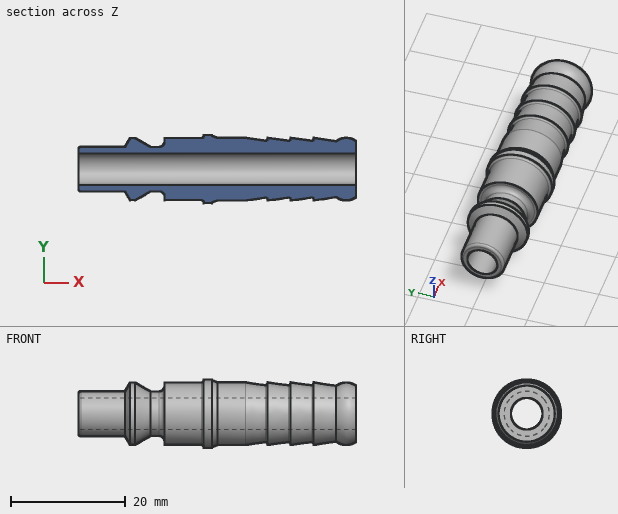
import cadquery as cq
import math


length = 48.5
bore_radius = 5.5 / 2
body_radius = 10.9 / 2
tail_radius = 11.0 / 2

stem_radius = 7.9 / 2
stem_end_fillet = 0.5
stem_length = 8.15

ridge_lead_angle = 60.0
ridge_top_width = 0.9
ridge_back_angle = 30.0
neck_radius = 7.8 / 2
neck_fillet = 0.95
shoulder_x = 15.05

collar_radius = 12.0 / 2
collar_start = 21.85
collar_width = 1.5
collar_front_fillet = 0.4
collar_back_run = 0.85
collar_back_rise = 0.35

barb_start = 29.2
first_barb_edge = 33.0
barb_pitch = 4.03
barb_count = 3
barb_root_radius = 5.0
barb_root_fillet = 0.3
bulb_start = 45.0
bulb_root_radius = 4.9

ridge_start = stem_length + (body_radius - stem_radius) / math.tan(math.radians(ridge_lead_angle))
ridge_end = ridge_start + ridge_top_width
neck_start = ridge_end + (body_radius - neck_radius) / math.tan(math.radians(ridge_back_angle))
collar_end = collar_start + collar_width
bulb_crest = (bulb_start + length) / 2


def hollow_fillet(profile, wall_x, root_radius, fillet):
    """Run along the root and curve up into the wall at wall_x with a concave quarter circle."""
    middle_offset = fillet * (1 - math.sqrt(0.5))
    return (
        profile
        .lineTo(wall_x - fillet, root_radius)
        .threePointArc(
            (wall_x - middle_offset, root_radius + middle_offset),
            (wall_x, root_radius + fillet),
        )
    )


def add_stem_and_neck(profile):
    corner_offset = stem_end_fillet * (1 - math.sqrt(0.5))
    profile = (
        profile
        .lineTo(0, stem_radius - stem_end_fillet)
        .threePointArc(
            (corner_offset, stem_radius - corner_offset),
            (stem_end_fillet, stem_radius),
        )
        .lineTo(stem_length, stem_radius)
        .lineTo(ridge_start, body_radius)
        .lineTo(ridge_end, body_radius)
        .lineTo(neck_start, neck_radius)
    )
    profile = hollow_fillet(profile, shoulder_x, neck_radius, neck_fillet)
    return profile.lineTo(shoulder_x, body_radius)


def add_collar(profile):
    profile = hollow_fillet(profile, collar_start, body_radius, collar_front_fillet)
    return (
        profile
        .lineTo(collar_start, collar_radius)
        .lineTo(collar_end, collar_radius)
        .lineTo(collar_end, tail_radius + collar_back_rise)
        .lineTo(collar_end + collar_back_run, tail_radius)
    )


def add_barbs(profile):
    profile = profile.lineTo(barb_start, tail_radius)
    for index in range(barb_count):
        edge_x = first_barb_edge + index * barb_pitch
        profile = hollow_fillet(profile, edge_x, barb_root_radius, barb_root_fillet)
        profile = profile.lineTo(edge_x, tail_radius)
    return profile


def add_bulb(profile):
    return (
        profile
        .lineTo(bulb_start, bulb_root_radius)
        .threePointArc((bulb_crest, tail_radius), (length, bulb_root_radius))
        .lineTo(length, bore_radius)
    )


outline = cq.Workplane("XY").moveTo(0, bore_radius)
outline = add_stem_and_neck(outline)
outline = add_collar(outline)
outline = add_barbs(outline)
outline = add_bulb(outline).close()

result = outline.revolve(360, (0, 0, 0), (1, 0, 0))